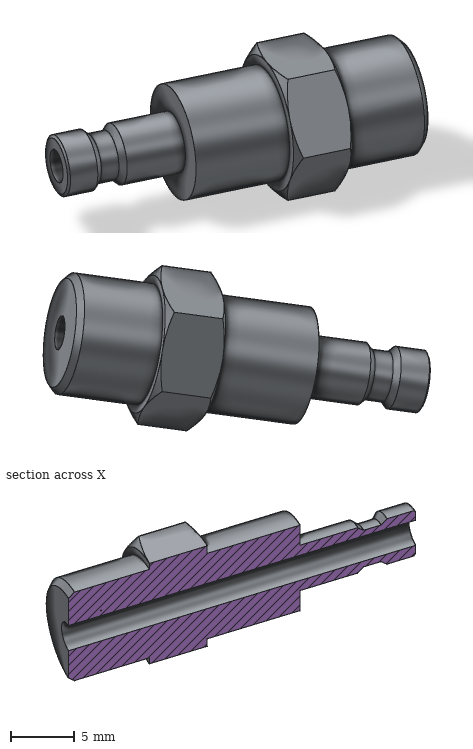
import cadquery as cq
import math

length = 30.0
groove_start = 2.5
groove_end = 5.0
plug_end = 10.0
hex_start = 18.0
hex_end = 23.0

plug_diameter = 5.0
neck_diameter = 4.05
body_diameter = 9.4
thread_diameter = 9.72
bore_diameter = 2.7
hex_across_flats = 11.0

tip_chamfer_radial = 0.25
tip_chamfer_axial = 0.15
thread_chamfer = 0.5
groove_cone_length = 0.5
hex_chamfer_angle = math.radians(30)

plug_radius = plug_diameter / 2
neck_radius = neck_diameter / 2
body_radius = body_diameter / 2
thread_radius = thread_diameter / 2
hex_flat_radius = hex_across_flats / 2
hex_corner_radius = hex_flat_radius / math.cos(math.radians(30))


def revolve_about_y(profile):
    """Turn a closed (radius, y) profile about the Y axis."""
    return cq.Workplane("XY").polyline(profile).close().revolve(360, (0, 0, 0), (0, 1, 0))


def along_y(start):
    """Workplane across the axis at the given station; negative extrusions run toward +Y."""
    return cq.Workplane("XZ", origin=(0, start, 0))


def turned_body():
    """Grooved plug, cylindrical body and chamfered rear cylinder."""
    return revolve_about_y([
        (0, 0),
        (plug_radius - tip_chamfer_radial, 0),
        (plug_radius, tip_chamfer_axial),
        (plug_radius, groove_start),
        (neck_radius, groove_start + groove_cone_length),
        (neck_radius, groove_end - groove_cone_length),
        (plug_radius, groove_end),
        (plug_radius, plug_end),
        (body_radius, plug_end),
        (body_radius, hex_start),
        (thread_radius, hex_start),
        (thread_radius, length - thread_chamfer),
        (thread_radius - thread_chamfer, length),
        (0, length),
    ])


def hexagon():
    """Hexagon with corners on X, its corners turned down at both ends."""
    prism = along_y(hex_start).polygon(6, 2 * hex_corner_radius).extrude(hex_start - hex_end)
    corner_drop = (hex_corner_radius - hex_flat_radius) * math.tan(hex_chamfer_angle)
    envelope = revolve_about_y([
        (0, hex_start),
        (hex_flat_radius, hex_start),
        (hex_corner_radius, hex_start + corner_drop),
        (hex_corner_radius, hex_end - corner_drop),
        (hex_flat_radius, hex_end),
        (0, hex_end),
    ])
    return prism.intersect(envelope)


bore = along_y(0).circle(bore_diameter / 2).extrude(-length)

result = turned_body().union(hexagon()).cut(bore)